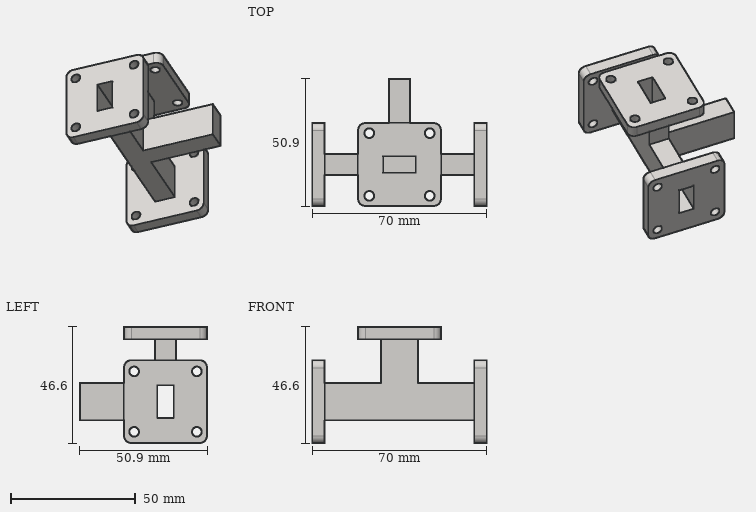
import cadquery as cq

length = 70.0
top_reach = 29.95
back_reach = 34.3

flange_side = 33.3
flange_thickness = 5.05
corner_radius = 3.0
hole_diameter = 3.8
hole_spacing_long = 25.1
hole_spacing_short = 24.2

tube_broad = 15.0
tube_narrow = 8.55
bore_broad = 13.0
bore_narrow = 6.45
cap_thickness = 1.1


left_plane = cq.Plane(origin=(0, 0, 0), xDir=(0, 1, 0), normal=(-1, 0, 0))
right_plane = cq.Plane(origin=(0, 0, 0), xDir=(0, 1, 0), normal=(1, 0, 0))
top_plane = cq.Plane(origin=(0, 0, 0), xDir=(1, 0, 0), normal=(0, 0, 1))
back_plane = cq.Plane(origin=(0, 0, 0), xDir=(1, 0, 0), normal=(0, 1, 0))


def bar(plane, section, reach):
    """Rectangular bar from the origin along the plane normal."""
    return cq.Workplane(plane).rect(*section).extrude(reach)


def flange(plane, axis, reach, hole_spacing_u, hole_spacing_v):
    """Rounded, drilled flange whose outer face lies at reach along the plane normal."""
    base = cq.Workplane(plane).workplane(offset=reach - flange_thickness)
    plate = base.rect(flange_side, flange_side).extrude(flange_thickness)
    plate = plate.edges("|" + axis).fillet(corner_radius)
    holes = (
        base.rarray(hole_spacing_u, hole_spacing_v, 2, 2)
        .circle(hole_diameter / 2)
        .extrude(flange_thickness)
    )
    return plate.cut(holes)


half_length = length / 2
upright_tube = (tube_narrow, tube_broad)
upright_bore = (bore_narrow, bore_broad)
flat_tube = (tube_broad, tube_narrow)
flat_bore = (bore_broad, bore_narrow)

arms = [
    (left_plane, upright_tube, upright_bore, half_length, half_length),
    (right_plane, upright_tube, upright_bore, half_length, half_length),
    (top_plane, flat_tube, flat_bore, top_reach, top_reach),
    (back_plane, upright_tube, upright_bore, back_reach, back_reach - cap_thickness),
]

result = flange(top_plane, "Z", top_reach, hole_spacing_short, hole_spacing_long)
for side_plane in (left_plane, right_plane):
    result = result.union(flange(side_plane, "X", half_length, hole_spacing_long, hole_spacing_short))
for plane, tube_section, _, tube_reach, _ in arms:
    result = result.union(bar(plane, tube_section, tube_reach))

for plane, _, bore_section, _, bore_reach in arms:
    result = result.cut(bar(plane, bore_section, bore_reach))